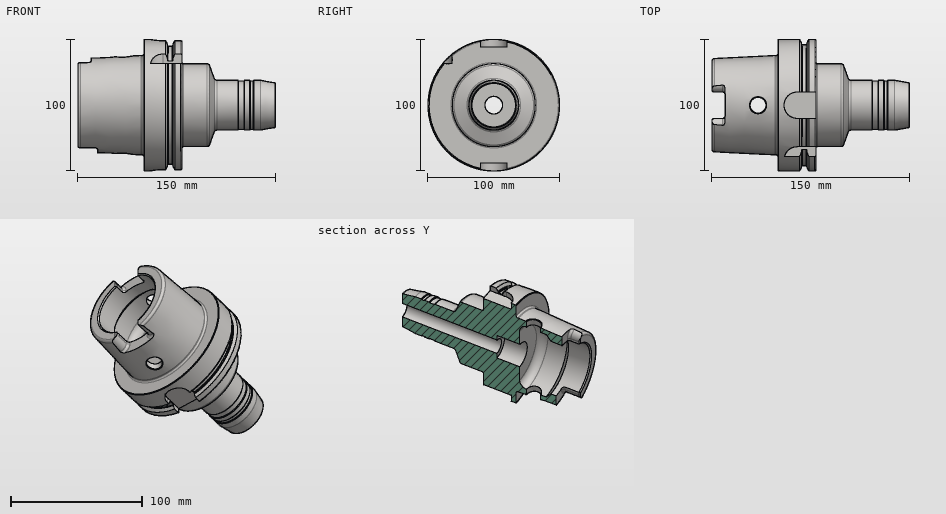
import cadquery as cq
import math


SHANK_LENGTH = 50
TAPER_LARGE_RADIUS = 37.8
TAPER_RATIO = 1 / 20
TAPER_BASE_X = -2.1
RIM_ROUND = 2

NECK_RADIUS = 75.42 / 2
NECK_ROUND = 1.4

FLANGE_RADIUS = 50
FLANGE_WIDTH = 29
FLANGE_CHAMFER = 0.5
FLANGE_BACK_ROUND = 1
VEE_CENTRE_X = 20
VEE_MOUTH_WIDTH = 7
VEE_FLOOR_WIDTH = 4
VEE_FLOOR_RADIUS = 46
VEE_FLOOR_ROUND = 0.6
VEE_FLANK_ANGLE = 30

BOSS_RADIUS = 63 / 2
BOSS_ROUND = 2
BOSS_FOOT_ROUND = 1
NOSE_RADIUS = 38 / 2
CONE_END_X = 54
CONE_STEEPNESS = 20
NOSE_FOOT_ROUND = 2
NOSE_END_X = 100
NOSE_TAPER_X = 88.6
NOSE_TIP_RADIUS = 17.1
NOSE_CHAMFER = 0.6
RING_GROOVE_RADIUS = 37 / 2
RING_GROOVE_FLANK = 0.6
RING_GROOVES = [(71.3, 76.5), (80.2, 83.4)]

BORE_RADIUS = 53 / 2
BORE_CHAMFER = 1
RECESS_RADIUS = 63 / 2
RECESS_START_X = -30.3
RECESS_END_X = -9.5
RECESS_CONE_ANGLE = 50
FLOOR_RADIUS = 25
FLOOR_ROUND = RECESS_RADIUS - FLOOR_RADIUS
FLOOR_X = RECESS_END_X + FLOOR_ROUND
TUBE_HOLE_RADIUS = 22.38 / 2
TUBE_HOLE_DEPTH = 20
COOLANT_RADIUS = 13.2 / 2

CROSS_HOLE_RADIUS = 12 / 2
CROSS_HOLE_X = -15
CROSS_HOLE_CHAMFER = 0.5

DRIVE_HALF_WIDTH = 10
DRIVE_EDGE_ROUND = 5.5
DRIVE_SHOULDER_Z = 32.4
DRIVE_FLOOR_ROUND = 2
DRIVE_CHAMFER = 1
DRIVE_TOP_DEPTH = 10
DRIVE_BOTTOM_DEPTH = 15

KEYWAY_WIDTH = 20
KEYWAY_ARC_X = 14.7
KEYWAY_FLOOR_Z = 44
NOTCH_FLOOR_Z = BOSS_RADIUS
NOTCH_WALL_Y = -BOSS_RADIUS

EDGE_TOLERANCE = 0.01


def revolve_about_x(profile):
    """Close a profile drawn as (x, radius) and spin it about the spindle axis."""
    return profile.close().revolve(360, (0, 0, 0), (1, 0, 0))


def taper_radius(x):
    return TAPER_LARGE_RADIUS + TAPER_RATIO * (x - TAPER_BASE_X)


def round_circle(body, x, radius, round_radius):
    """Round the circular edge of the given radius that lies in the plane at x."""
    on_circle = body.edges("%CIRCLE").filter(
        lambda edge: abs(edge.Center().x - x) < EDGE_TOLERANCE
        and abs(edge.radius() - radius) < EDGE_TOLERANCE
    )
    return on_circle.fillet(round_radius)


def make_body():
    """Solid of revolution for the shank, flange, boss and tool nose."""
    rim_x = -SHANK_LENGTH
    round_end_x = rim_x + RIM_ROUND
    rim_radius = taper_radius(round_end_x)
    cone_length = (BOSS_RADIUS - NOSE_RADIUS) * math.tan(math.radians(CONE_STEEPNESS))
    cone_start_x = CONE_END_X - cone_length
    profile = (
        cq.Workplane("XY")
        .moveTo(rim_x, 0)
        .lineTo(rim_x, rim_radius - RIM_ROUND)
        .radiusArc((round_end_x, rim_radius), RIM_ROUND)
        .lineTo(TAPER_BASE_X, TAPER_LARGE_RADIUS)
        .lineTo(-NECK_ROUND, NECK_RADIUS)
        .radiusArc((0, NECK_RADIUS + NECK_ROUND), -NECK_ROUND)
        .lineTo(0, FLANGE_RADIUS - FLANGE_CHAMFER)
        .lineTo(FLANGE_CHAMFER, FLANGE_RADIUS)
        .lineTo(FLANGE_WIDTH, FLANGE_RADIUS)
        .lineTo(FLANGE_WIDTH, BOSS_RADIUS)
        .lineTo(cone_start_x, BOSS_RADIUS)
        .lineTo(CONE_END_X, NOSE_RADIUS)
        .lineTo(NOSE_TAPER_X, NOSE_RADIUS)
        .lineTo(NOSE_END_X - NOSE_CHAMFER, NOSE_TIP_RADIUS)
        .lineTo(NOSE_END_X, NOSE_TIP_RADIUS - NOSE_CHAMFER)
        .lineTo(NOSE_END_X, 0)
    )
    body = revolve_about_x(profile)
    body = round_circle(body, FLANGE_WIDTH, BOSS_RADIUS, BOSS_FOOT_ROUND)
    body = round_circle(body, FLANGE_WIDTH, FLANGE_RADIUS, FLANGE_BACK_ROUND)
    body = round_circle(body, cone_start_x, BOSS_RADIUS, BOSS_ROUND)
    return round_circle(body, CONE_END_X, NOSE_RADIUS, NOSE_FOOT_ROUND)


def vee_groove():
    """Gripper groove around the flange: sloped flanks above a narrow straight-walled floor."""
    half_mouth = VEE_MOUTH_WIDTH / 2
    half_floor = VEE_FLOOR_WIDTH / 2
    flank_drop = (half_mouth - half_floor) / math.tan(math.radians(VEE_FLANK_ANGLE))
    flank_foot_radius = FLANGE_RADIUS - flank_drop
    wall_foot_radius = VEE_FLOOR_RADIUS + VEE_FLOOR_ROUND
    left_x = VEE_CENTRE_X - half_floor
    right_x = VEE_CENTRE_X + half_floor
    profile = (
        cq.Workplane("XY")
        .moveTo(VEE_CENTRE_X - half_mouth, FLANGE_RADIUS)
        .lineTo(left_x, flank_foot_radius)
        .lineTo(left_x, wall_foot_radius)
        .radiusArc((left_x + VEE_FLOOR_ROUND, VEE_FLOOR_RADIUS), -VEE_FLOOR_ROUND)
        .lineTo(right_x - VEE_FLOOR_ROUND, VEE_FLOOR_RADIUS)
        .radiusArc((right_x, wall_foot_radius), -VEE_FLOOR_ROUND)
        .lineTo(right_x, flank_foot_radius)
        .lineTo(VEE_CENTRE_X + half_mouth, FLANGE_RADIUS)
    )
    return revolve_about_x(profile)


def ring_groove(start_x, end_x):
    """Shallow marking groove around the tool nose."""
    profile = (
        cq.Workplane("XY")
        .moveTo(start_x, NOSE_RADIUS)
        .lineTo(start_x + RING_GROOVE_FLANK, RING_GROOVE_RADIUS)
        .lineTo(end_x - RING_GROOVE_FLANK, RING_GROOVE_RADIUS)
        .lineTo(end_x, NOSE_RADIUS)
    )
    return revolve_about_x(profile)


def shank_bore():
    """Shank bore with its clamping recess, coolant tube hole and coolant passage."""
    mouth_x = -SHANK_LENGTH
    cone_length = (RECESS_RADIUS - BORE_RADIUS) / math.tan(math.radians(RECESS_CONE_ANGLE))
    profile = (
        cq.Workplane("XY")
        .moveTo(mouth_x, 0)
        .lineTo(mouth_x, BORE_RADIUS + BORE_CHAMFER)
        .lineTo(mouth_x + BORE_CHAMFER, BORE_RADIUS)
        .lineTo(RECESS_START_X, BORE_RADIUS)
        .lineTo(RECESS_START_X + cone_length, RECESS_RADIUS)
        .lineTo(RECESS_END_X, RECESS_RADIUS)
        .radiusArc((FLOOR_X, FLOOR_RADIUS), FLOOR_ROUND)
        .lineTo(FLOOR_X, TUBE_HOLE_RADIUS)
        .lineTo(FLOOR_X + TUBE_HOLE_DEPTH, TUBE_HOLE_RADIUS)
        .lineTo(FLOOR_X + TUBE_HOLE_DEPTH, COOLANT_RADIUS)
        .lineTo(NOSE_END_X, COOLANT_RADIUS)
        .lineTo(NOSE_END_X, 0)
    )
    return revolve_about_x(profile)


def with_cross_hole(body):
    """Drill the shank wall along Z and chamfer both outer mouths."""
    hole = (
        cq.Workplane("XY", origin=(CROSS_HOLE_X, 0, 0))
        .circle(CROSS_HOLE_RADIUS)
        .extrude(FLANGE_RADIUS, both=True)
    )
    body = body.cut(hole)
    reach = CROSS_HOLE_RADIUS + EDGE_TOLERANCE
    for side in (1, -1):
        mouth = cq.selectors.BoxSelector(
            (CROSS_HOLE_X - reach, -reach, side * RECESS_RADIUS),
            (CROSS_HOLE_X + reach, reach, side * FLANGE_RADIUS),
            boundingbox=True,
        )
        body = body.edges(mouth).chamfer(CROSS_HOLE_CHAMFER)
    return body


def mouth_chamfer():
    """Wedge that bevels both straight side walls of a drive slot where they meet the rim."""
    rim_x = -SHANK_LENGTH
    half_mouth = DRIVE_HALF_WIDTH + DRIVE_CHAMFER
    return (
        cq.Workplane("XY")
        .moveTo(rim_x, -half_mouth)
        .lineTo(rim_x, half_mouth)
        .lineTo(rim_x + DRIVE_CHAMFER, DRIVE_HALF_WIDTH)
        .lineTo(rim_x + DRIVE_CHAMFER, -DRIVE_HALF_WIDTH)
        .close()
        .extrude(DRIVE_SHOULDER_Z)
    )


def drive_slot(depth):
    """Slot opening toward +Z whose side walls round outward into a wide shoulder."""
    wall_top_z = DRIVE_SHOULDER_Z - DRIVE_EDGE_ROUND
    flare_y = DRIVE_HALF_WIDTH + DRIVE_EDGE_ROUND
    return (
        cq.Workplane("YZ", origin=(-SHANK_LENGTH, 0, 0))
        .moveTo(-DRIVE_HALF_WIDTH, 0)
        .lineTo(DRIVE_HALF_WIDTH, 0)
        .lineTo(DRIVE_HALF_WIDTH, wall_top_z)
        .radiusArc((flare_y, DRIVE_SHOULDER_Z), DRIVE_EDGE_ROUND)
        .lineTo(FLANGE_RADIUS, DRIVE_SHOULDER_Z)
        .lineTo(FLANGE_RADIUS, FLANGE_RADIUS)
        .lineTo(-FLANGE_RADIUS, FLANGE_RADIUS)
        .lineTo(-FLANGE_RADIUS, DRIVE_SHOULDER_Z)
        .lineTo(-flare_y, DRIVE_SHOULDER_Z)
        .radiusArc((-DRIVE_HALF_WIDTH, wall_top_z), DRIVE_EDGE_ROUND)
        .close()
        .extrude(depth)
        .faces(">X")
        .edges("not(<Z or >Z or <Y or >Y)")
        .fillet(DRIVE_FLOOR_ROUND)
        .union(mouth_chamfer())
    )


def flange_slot(centre_y, floor_z):
    """Round-ended slot along X, cut down from +Z to the given floor height."""
    radius = KEYWAY_WIDTH / 2
    return (
        cq.Workplane("XY", origin=(KEYWAY_ARC_X, centre_y, floor_z))
        .moveTo(0, radius)
        .threePointArc((-radius, 0), (0, -radius))
        .lineTo(FLANGE_WIDTH - KEYWAY_ARC_X, -radius)
        .lineTo(FLANGE_WIDTH - KEYWAY_ARC_X, radius)
        .close()
        .extrude(FLANGE_RADIUS - floor_z)
    )


def turned_to_bottom(tool):
    return tool.rotate((0, 0, 0), (1, 0, 0), 180)


result = make_body().cut(vee_groove())
for groove_start, groove_end in RING_GROOVES:
    result = result.cut(ring_groove(groove_start, groove_end))
result = result.cut(shank_bore())
result = with_cross_hole(result)
result = result.cut(drive_slot(DRIVE_TOP_DEPTH))
result = result.cut(turned_to_bottom(drive_slot(DRIVE_BOTTOM_DEPTH)))
result = result.cut(flange_slot(0, KEYWAY_FLOOR_Z))
result = result.cut(turned_to_bottom(flange_slot(0, KEYWAY_FLOOR_Z)))
result = result.cut(flange_slot(NOTCH_WALL_Y - KEYWAY_WIDTH / 2, NOTCH_FLOOR_Z))